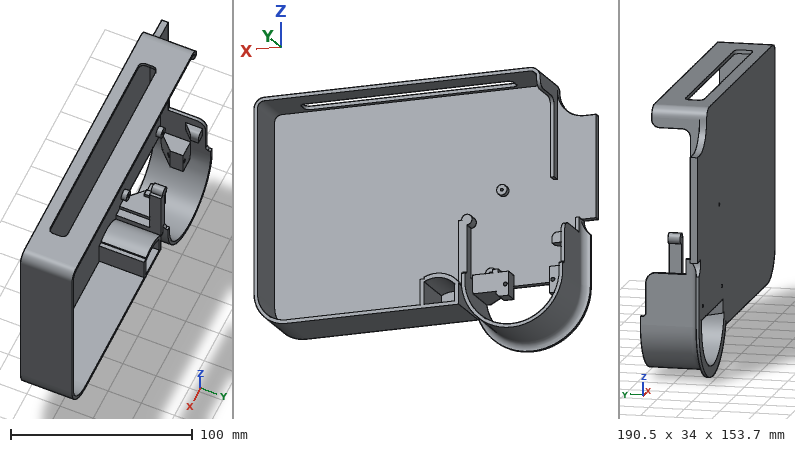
import cadquery as cq

width = 190.5
depth = 34.0
height = 153.7

plate = 4.0
wall = 2.0
case_depth = 31.0
case_left = 22.7
case_bottom = 21.9
bottom_start = 70.5
top_radius = 6.0
bottom_radius = 19.0

tab_bottom = 72.0
bite_radius = 16.0
lower_bite_radius = 10.7

sleeve_radius = 29.7
bore_radius = 27.6
flange_radius = 33.9
flange_thickness = 1.7
flange_fillet = 4.0
sleeve_x = 38.0
sleeve_z = flange_radius
sleeve_left = sleeve_x - sleeve_radius
bore_left = sleeve_x - bore_radius
bore_right = sleeve_x + bore_radius
sleeve_top = 38.5
sleeve_step = 1.5
window_top = 37.7
side_wall_top = 63.5
side_wall_corner = 5.7
low_wall_depth = 8.4

opening_top = 142.0
opening_radius = 4.5
strip_depth = 9.1
strip_bottom = 96.5

slot_left = 44.4
slot_right = 168.7
slot_front = 7.0
slot_back = 17.5
slot_radius = 3.0

post_diameter = 6.0
post_hole = 1.5
post_back = 7.0
post_places = [(13.9, 45.0), (54.0, 93.1), (60.5, 45.7)]

bracket_hole = 2.0
bracket_back = 22.0
bracket_top = 40.8
left_bracket_tip = 20.5
left_bracket_front = 14.3
left_bracket_bottom = 25.5
left_hole = (18.7, 33.1)
right_bracket_tip = 44.5
right_bracket_front = 13.5
right_bracket_bottom = 26.9
right_web_start = 49.5
right_web_bottom = 29.9
right_tab_end = 51.8
right_tab_chamfer = 1.5
right_web_end = 63.0
pad_left = 50.7
pad_right = 53.9
pad_height = 1.9
right_hole = (46.5, 33.5)

stop_reach = 5.9
stop_front = 24.8
stop_height = 6.0
stop_back = 29.3
stop_radius = 3.0

peg_z = 70.0
peg_front = 24.2

rib_radius = 17.1
rib_thickness = 2.5
rib_center = 83.8
rib_right = 93.1


def box(x0, x1, y0, y1, z0, z1):
    """Box between two limits on each axis."""
    return cq.Workplane("XY").box(x1 - x0, y1 - y0, z1 - z0, centered=False).translate((x0, y0, z0))


def front_plane(y):
    """Sketch plane facing the front; a positive extrusion runs toward the back."""
    return cq.Workplane(cq.Plane(origin=(0, y, 0), xDir=(1, 0, 0), normal=(0, -1, 0)))


def cylinder(x, z, diameter, y0, y1):
    """Cylinder along Y."""
    return front_plane(y0).center(x, z).circle(diameter / 2).extrude(y0 - y1)


def upright(points, z0, z1):
    """Prism along Z on an X-Y outline."""
    return cq.Workplane("XY").workplane(offset=z0).polyline(points).close().extrude(z1 - z0)


def rounded_case(inset, y0, y1):
    """Case outline, moved inward by the inset, as a solid."""
    block = box(case_left + inset, width - inset, y0, y1, case_bottom + inset, height - inset)
    block = block.edges("|Y and >Z").fillet(top_radius - inset)
    return block.edges("|Y and >X and <Z").fillet(bottom_radius - inset)


def make_case():
    """Plate with the top, right, bottom and partial left walls."""
    case = rounded_case(0, 0, case_depth).cut(rounded_case(wall, plate, case_depth))
    opening = box(0, case_left + wall, strip_depth, depth, strip_bottom, opening_top)
    opening = opening.edges("|X and >Z and <Y").fillet(opening_radius)
    case = case.cut(opening)
    case = case.cut(box(0, case_left + wall, plate, depth, 0, strip_bottom))
    case = case.cut(box(0, bottom_start, plate, depth, 0, sleeve_z))
    corner = box(0, case_left + wall, case_depth - opening_radius, case_depth,
                 opening_top, opening_top + opening_radius)
    rounding = (cq.Workplane("YZ")
                .center(case_depth - opening_radius, opening_top + opening_radius)
                .circle(opening_radius).extrude(case_left + wall))
    case = case.cut(corner.cut(rounding))
    case = case.cut(box(0, bottom_start, 0, plate, 0, sleeve_z))
    slot = box(slot_left, slot_right, slot_front, slot_back, height - 2 * wall, height)
    return case.cut(slot.edges("|Z").fillet(slot_radius))


def make_tab():
    """Plate area left of the case, reaching down to the sleeve."""
    bite_z = height - top_radius
    tab = box(0, case_left, 0, plate, tab_bottom, bite_z)
    tab = tab.cut(box(0, case_left - bite_radius, 0, plate, bite_z - bite_radius, bite_z))
    tab = tab.cut(cylinder(case_left - bite_radius, bite_z, 2 * bite_radius, 0, plate))
    lower = box(sleeve_left, bottom_start, 0, plate, sleeve_z, tab_bottom)
    return tab.union(lower)


def flange_section():
    """Flange section with its rear fillet, sketched outward from the sleeve axis."""
    plane = cq.Workplane(cq.Plane(origin=(sleeve_x, 0, sleeve_z), xDir=(-1, 0, 0), normal=(0, 0, -1)))
    bend = flange_fillet * (1 - 0.5 ** 0.5)
    fillet_back = flange_thickness + flange_fillet
    return (plane.moveTo(bore_radius, 0).lineTo(flange_radius, 0)
            .lineTo(flange_radius, flange_thickness)
            .lineTo(sleeve_radius + flange_fillet, flange_thickness)
            .threePointArc((sleeve_radius + bend, flange_thickness + bend),
                           (sleeve_radius, fillet_back))
            .lineTo(bore_radius, fillet_back).close())


def make_sleeve():
    """Half-round sleeve with its side walls and the deeper rim."""
    sleeve = cylinder(sleeve_x, sleeve_z, 2 * sleeve_radius, 0, depth)
    sleeve = sleeve.cut(cylinder(sleeve_x, sleeve_z, 2 * bore_radius, 0, depth))
    sleeve = sleeve.cut(box(0, width, 0, depth, sleeve_z, height))
    side = box(sleeve_left, bore_left, 0, case_depth, sleeve_z, side_wall_top)
    side = side.edges("|X and >Z and >Y").fillet(side_wall_corner)
    low_side = box(sleeve_left, bore_left, 0, low_wall_depth, side_wall_top, tab_bottom)
    right_side = box(bore_right, bottom_start, 0, case_depth, sleeve_z, sleeve_top)
    sleeve = sleeve.union(side).union(low_side).union(right_side)

    rim = (cq.Workplane("YZ").moveTo(case_depth - wall, sleeve_z).lineTo(depth, sleeve_z)
           .lineTo(depth, sleeve_top).lineTo(case_depth + sleeve_step, sleeve_top)
           .lineTo(case_depth, sleeve_top + sleeve_step)
           .lineTo(case_depth - wall, sleeve_top + sleeve_step).close()
           .extrude(sleeve_radius - bore_radius))
    for x in (sleeve_left, bore_right):
        sleeve = sleeve.union(rim.translate((x, 0, 0)))
    return sleeve


def make_flange():
    """Flange along the half round and straight up the left side, ending in a round bite."""
    half_round = flange_section().revolve(180, (0, 0), (0, -1))
    straight = flange_section().extrude(sleeve_z - tab_bottom)
    bite = cylinder(sleeve_left - lower_bite_radius, tab_bottom, 2 * lower_bite_radius, 0, depth)
    return half_round.union(straight.cut(bite))


def make_left_bracket():
    """Bracket on the left side wall with a 45 degree front face."""
    run = left_bracket_tip - bore_left
    outline = [(bore_left, left_bracket_front - run), (left_bracket_tip, left_bracket_front),
               (left_bracket_tip, bracket_back), (bore_left, bracket_back)]
    return upright(outline, left_bracket_bottom, bracket_top)


def make_right_bracket():
    """Bracket tab with a top pad, carried by a 45 degree web from the right side of the sleeve."""
    web_front = right_bracket_front - (right_web_end - right_web_start)
    outline = [(right_web_start, right_bracket_front), (right_web_end, web_front),
               (bore_right, web_front), (bore_right, bracket_back),
               (right_web_start, bracket_back)]
    web = upright(outline, right_web_bottom, bracket_top)
    tab = box(right_bracket_tip, right_tab_end, right_bracket_front, bracket_back,
              right_bracket_bottom, bracket_top)
    pad = box(pad_left, pad_right, right_bracket_front, bracket_back,
              bracket_top, bracket_top + pad_height)
    return web.union(tab.edges("|Y and >X and <Z").chamfer(right_tab_chamfer)).union(pad)


def make_stop():
    """Small stop inside the left side wall with a 45 degree front face."""
    stop_right = bore_left + stop_reach
    outline = [(bore_left, stop_front - stop_reach), (stop_right, stop_front),
               (stop_right, stop_back), (bore_left, stop_back)]
    top = side_wall_top - side_wall_corner
    stop = upright(outline, top - stop_height, top)
    return stop.edges("|Y and >X and >Z").fillet(stop_radius)


def make_peg():
    """Round peg carried by a post on the right side of the sleeve."""
    peg = cylinder(bore_right, peg_z, post_diameter, peg_front, case_depth)
    post = box(bore_right, bottom_start, peg_front, case_depth, sleeve_z, peg_z)
    return peg.union(post)


def make_rib():
    """Thin arched rib standing on the bottom wall on two upright legs."""
    base = case_bottom + wall
    inner_radius = rib_radius - rib_thickness
    right_leg = rib_right - rib_thickness
    arch = cylinder(rib_center, base, 2 * rib_radius, plate, case_depth)
    profile = arch.intersect(box(bottom_start, right_leg, plate, case_depth, base, base + rib_radius))
    hollow = cylinder(rib_center, base, 2 * inner_radius, plate, case_depth)
    hollow = hollow.intersect(box(bottom_start + rib_thickness, right_leg, plate, case_depth,
                                  base, base + rib_radius))
    leg = box(right_leg, rib_right, plate, case_depth, case_bottom, base + inner_radius)
    foot = box(bottom_start, bottom_start + rib_thickness, plate, case_depth, case_bottom, base)
    return profile.cut(hollow).union(leg).union(foot)


result = make_case().union(make_tab()).union(make_sleeve()).union(make_flange())

result = result.cut(box(bore_left, bore_right, 0, plate, sleeve_z, window_top))

result = result.union(make_left_bracket()).union(make_right_bracket())
result = result.union(make_stop()).union(make_peg()).union(make_rib())

for x, z in post_places:
    result = result.union(cylinder(x, z, post_diameter, 0, post_back))
for x, z in post_places:
    result = result.cut(cylinder(x, z, post_hole, 0, post_back))
for x, z in (left_hole, right_hole):
    result = result.cut(cylinder(x, z, bracket_hole, 0, bracket_back))